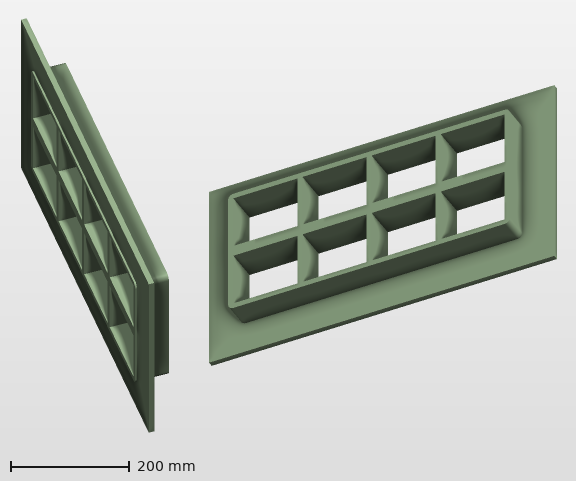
import cadquery as cq

plate_width = 652.0
plate_height = 362.0
plate_thickness = 10.0

frame_margin = 60.0
frame_depth = 60.0
front_lip = 3.0
corner_radius = 10.0
frame_width = plate_width - 2 * frame_margin
frame_height = plate_height - 2 * frame_margin

columns = 4
rows = 2
wall = 10.0
middle_bar = 21.0
cell_width = (frame_width - (columns + 1) * wall) / columns
cell_height = (frame_height - 2 * wall - middle_bar) / rows
column_pitch = cell_width + wall
row_pitch = cell_height + middle_bar


def upright_box(width, depth, height, front):
    """Box centred in X and Z, reaching back along +Y from its front face."""
    return cq.Workplane("XY").box(width, depth, height).translate((0, front + depth / 2, 0))


plate = upright_box(plate_width, plate_thickness, plate_height, front_lip)
frame = upright_box(frame_width, frame_depth, frame_height, 0).edges("|Y").fillet(corner_radius)
openings = (
    cq.Workplane("XZ")
    .rarray(column_pitch, row_pitch, columns, rows)
    .rect(cell_width, cell_height)
    .extrude(-frame_depth)
)

result = plate.union(frame).cut(openings)